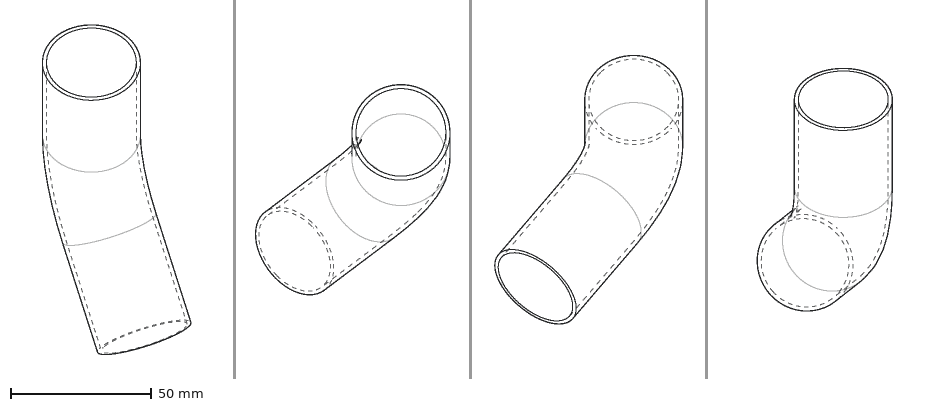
import cadquery as cq
import math

outer_diameter = 35.0
inner_diameter = 32.0
upper_leg_length = 40.0
lower_leg_length = 41.6
bend_radius = 55.0
bend_angle = 42.2


def bend_point(angle_deg):
    """Centreline point of the bend, after turning by the given angle."""
    angle = math.radians(angle_deg)
    x = bend_radius * (1 - math.cos(angle))
    z = -bend_radius * math.sin(angle)
    return x, z


bend_end_x, bend_end_z = bend_point(bend_angle)
lower_end_x = bend_end_x + lower_leg_length * math.sin(math.radians(bend_angle))
lower_end_z = bend_end_z - lower_leg_length * math.cos(math.radians(bend_angle))

centreline = (
    cq.Workplane("XZ")
    .moveTo(0, upper_leg_length)
    .lineTo(0, 0)
    .threePointArc(bend_point(bend_angle / 2), (bend_end_x, bend_end_z))
    .lineTo(lower_end_x, lower_end_z)
)

result = (
    cq.Workplane("XY", origin=(0, 0, upper_leg_length))
    .circle(outer_diameter / 2)
    .circle(inner_diameter / 2)
    .sweep(centreline)
)